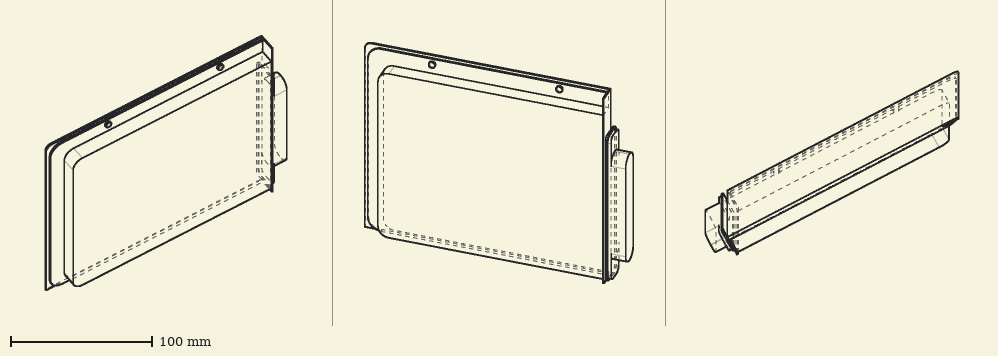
import cadquery as cq


total_length = 200.2
total_height = 155.0

sheet_thickness = 1.3
sheet_bottom = 0.6
sheet_corner_radius = 5.0
sheet_length = 185.4
end_flange_thickness = 0.9
end_flange_reach = 14.5

board_front = 2.8
board_thickness = 1.5
board_top_margin = 2.2
board_corner_radius = 10.0

housing_front = 14.6
housing_bottom = 3.6
housing_top = 140.7
housing_face = 13.8
housing_corner_radius = 8.0

stud_diameter = 4.8
stud_height = 1.5
stud_z = 148.5
stud_positions_y = (51.7, 147.7)

connector_x = 2.2
mount_width = 18.0
mount_height = 121.0
mount_thickness = 1.5
mount_corner_radius = 3.0
shoulder_width = 16.0
shoulder_inset = 0.6
shoulder_thickness = 2.5
shoulder_corner_radius = 4.5
plug_width = 16.0
plug_height = 88.9
plug_corner_radius = 7.8

board_inner = sheet_thickness
board_face = board_inner + board_thickness
board_top = total_height - board_top_margin
end_flange_inner = sheet_length - end_flange_thickness
mount_z = mount_height / 2
mount_face = sheet_length + mount_thickness
shoulder_face = mount_face + shoulder_thickness


def box(x_range, y_range, z_range):
    """Box between the given (low, high) limits on each axis."""
    (x0, x1), (y0, y1), (z0, z1) = x_range, y_range, z_range
    return cq.Workplane("XY").box(x1 - x0, y1 - y0, z1 - z0, centered=False).translate((x0, y0, z0))


def round_front(body, radius):
    """Round the upper and lower corners at the front end of a slab."""
    return body.faces("<Y").edges("|X").fillet(radius)


def connector_layer(start_y, width, height, thickness, corner_radius):
    """Slab with rounded corners, centred on the connector and growing along +Y from start_y."""
    plane = cq.Workplane("XZ", origin=(connector_x, start_y, mount_z))
    return plane.rect(width, height).extrude(-thickness).edges("|Y").fillet(corner_radius)


def sheet():
    sheet_z = (sheet_bottom, total_height)
    plate = box((0, sheet_thickness), (0, sheet_length), sheet_z)
    plate = plate.faces("<Y").edges("|X and >Z").fillet(sheet_corner_radius)
    flange = box((0, end_flange_reach), (end_flange_inner, sheet_length), sheet_z)
    return plate.union(flange)


def board():
    slab = box((board_inner, board_face), (board_front, end_flange_inner), (sheet_bottom, board_top))
    return round_front(slab, board_corner_radius)


def housing():
    block = box((board_face, housing_face), (housing_front, end_flange_inner), (housing_bottom, housing_top))
    return round_front(block, housing_corner_radius)


def studs():
    centres = [(y, stud_z) for y in stud_positions_y]
    face = cq.Workplane("YZ", origin=(board_face, 0, 0))
    return face.pushPoints(centres).circle(stud_diameter / 2).extrude(stud_height)


def connector():
    shoulder_height = mount_height - 2 * shoulder_inset
    plug_length = total_length - shoulder_face
    mount = connector_layer(sheet_length, mount_width, mount_height, mount_thickness, mount_corner_radius)
    shoulder = connector_layer(
        mount_face, shoulder_width, shoulder_height, shoulder_thickness, shoulder_corner_radius
    )
    plug = connector_layer(shoulder_face, plug_width, plug_height, plug_length, plug_corner_radius)
    return mount.union(shoulder).union(plug)


result = sheet().union(board()).union(housing()).union(studs()).union(connector())